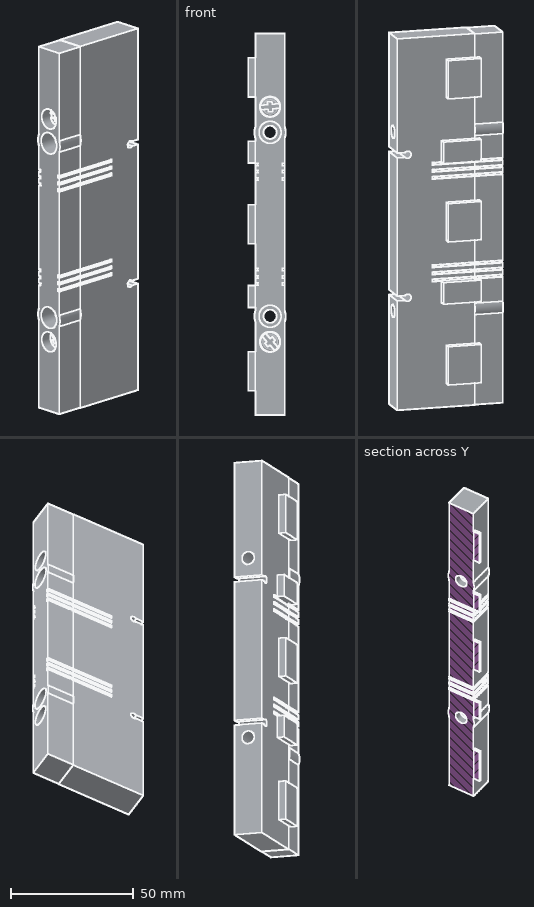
import cadquery as cq

LENGTH = 156.0
WIDTH = 12.0
PLATE_DEPTH = 33.0
STRIP_DEPTH = WIDTH
STRIP_SHORTFALL = 0.2

PAD_THICKNESS = 3.0
PAD_OVERHANG = 1.9
LARGE_PAD_DEPTH = 14.0
LARGE_PAD_HEIGHT = 16.0
LARGE_PAD_PITCH = 60.0
SMALL_PAD_DEPTH = 16.0
SMALL_PAD_HEIGHT = 9.0

GROOVE_SIZE = 1.0
GROOVE_PITCH = 3.0
GROOVES_PER_GROUP = 3
INNER_GROOVE_Z = 18.5
GROOVE_REACH = 18.1

KEYHOLE_PITCH = LARGE_PAD_PITCH
KEYHOLE_OFFSET = -1.0
KEYHOLE_WIDTH = 2.0
KEYHOLE_DIAMETER = 3.0
KEYHOLE_DEPTH = 6.0

BOLT_Z = 37.6
BOLT_DIAMETER = 5.3
COUNTERBORE_DIAMETER = 9.0
COUNTERBORE_DEPTH = 7.8
BOSS_DIAMETER = 13.0

SCREW_Z = 48.0
SCREW_HOLE_DIAMETER = 8.5
SCREW_DIAMETER = 8.0
SCREW_RECESS = 4.0
SCREW_HEIGHT = 5.0
SCREW_FILLET = 1.0
DRIVE_WIDTH = 1.9
DRIVE_DEPTH = 1.2
CROSS_LENGTH = 4.0
UPPER_SCREW_TURN = -5.0
LOWER_SCREW_TURN = 48.0

STRIP_FRONT_Y = -STRIP_DEPTH
SIDES = (1, -1)


def block(x_range, y_range, z_range):
    """Box between the given limits."""
    (x0, x1), (y0, y1), (z0, z1) = x_range, y_range, z_range
    return cq.Workplane("XY").box(x1 - x0, y1 - y0, z1 - z0, centered=False).translate((x0, y0, z0))


def rod(diameter, y_start, y_end, z):
    """Cylinder along Y, centred on X = 0."""
    cylinder = cq.Solid.makeCylinder(
        diameter / 2, y_end - y_start, cq.Vector(0, y_start, z), cq.Vector(0, 1, 0)
    )
    return cq.Workplane(obj=cylinder)


def pad(depth, height, z):
    """Raised pad on the -X side, centred at height z."""
    outer_x = -WIDTH / 2 - PAD_THICKNESS
    return block(
        (outer_x, -WIDTH / 2),
        (-PAD_OVERHANG, depth - PAD_OVERHANG),
        (z - height / 2, z + height / 2),
    )


def groove_ring(z):
    """What a groove removes: a channel along both sides and one across the joint."""
    z_range = (z - GROOVE_SIZE / 2, z + GROOVE_SIZE / 2)
    ring = block((-WIDTH / 2, WIDTH / 2), (-GROOVE_SIZE, GROOVE_SIZE), z_range)
    for start_x, end_x in (
        (-WIDTH / 2, GROOVE_SIZE - WIDTH / 2),
        (WIDTH / 2 - GROOVE_SIZE, WIDTH / 2),
    ):
        ring = ring.union(block((start_x, end_x), (STRIP_FRONT_Y, GROOVE_REACH), z_range))
    return ring


def cut_grooves(body):
    for side in SIDES:
        for index in range(GROOVES_PER_GROUP):
            body = body.cut(groove_ring(side * (INNER_GROOVE_Z + index * GROOVE_PITCH)))
    return body


def keyhole(z):
    """Slot through the plate's thickness that ends in a round hole."""
    round_y = PLATE_DEPTH - KEYHOLE_DEPTH + KEYHOLE_DIAMETER / 2
    slot = block(
        (-WIDTH / 2, WIDTH / 2),
        (round_y, PLATE_DEPTH),
        (z - KEYHOLE_WIDTH / 2, z + KEYHOLE_WIDTH / 2),
    )
    end = cq.Workplane("YZ").center(round_y, z).circle(KEYHOLE_DIAMETER / 2).extrude(WIDTH / 2, both=True)
    return slot.union(end)


def make_plate():
    half_width, half_length = WIDTH / 2, LENGTH / 2
    plate = block((-half_width, half_width), (0, PLATE_DEPTH), (-half_length, half_length))
    for index in (-1, 0, 1):
        plate = plate.union(pad(LARGE_PAD_DEPTH, LARGE_PAD_HEIGHT, index * LARGE_PAD_PITCH))
    outer_groove_z = INNER_GROOVE_Z + (GROOVES_PER_GROUP - 1) * GROOVE_PITCH
    small_pad_z = outer_groove_z + GROOVE_SIZE / 2 + SMALL_PAD_HEIGHT / 2
    for side in SIDES:
        plate = plate.union(pad(SMALL_PAD_DEPTH, SMALL_PAD_HEIGHT, side * small_pad_z))
        plate = plate.cut(rod(BOLT_DIAMETER, 0, PLATE_DEPTH, side * BOLT_Z))
        plate = plate.cut(keyhole(KEYHOLE_OFFSET + side * KEYHOLE_PITCH / 2))
    return cut_grooves(plate)


def make_strip():
    half_width, half_length = WIDTH / 2, LENGTH / 2
    strip = block(
        (-half_width, half_width),
        (STRIP_FRONT_Y, 0),
        (STRIP_SHORTFALL - half_length, half_length - STRIP_SHORTFALL),
    )
    counterbore_end = STRIP_FRONT_Y + COUNTERBORE_DEPTH
    screw_seat = STRIP_FRONT_Y + SCREW_RECESS + SCREW_HEIGHT
    for side in SIDES:
        strip = strip.union(rod(BOSS_DIAMETER, STRIP_FRONT_Y, 0, side * BOLT_Z))
        strip = strip.cut(rod(BOLT_DIAMETER, STRIP_FRONT_Y, 0, side * BOLT_Z))
        strip = strip.cut(rod(COUNTERBORE_DIAMETER, STRIP_FRONT_Y, counterbore_end, side * BOLT_Z))
        strip = strip.cut(rod(SCREW_HOLE_DIAMETER, STRIP_FRONT_Y, screw_seat, side * SCREW_Z))
    return cut_grooves(strip)


def make_screw(z, turn):
    """Screw with a rounded top, a slot across it and a short cross arm."""
    top = STRIP_FRONT_Y + SCREW_RECESS
    screw = rod(SCREW_DIAMETER, top, top + SCREW_HEIGHT, 0).faces("<Y").edges().fillet(SCREW_FILLET)
    for length, width in ((SCREW_DIAMETER, DRIVE_WIDTH), (DRIVE_WIDTH, CROSS_LENGTH)):
        screw = screw.cut(
            block((-length / 2, length / 2), (top, top + DRIVE_DEPTH), (-width / 2, width / 2))
        )
    return screw.rotate((0, 0, 0), (0, 1, 0), turn).translate((0, 0, z))


plate = make_plate()
strip = make_strip()
screws = [
    make_screw(z, turn)
    for z, turn in ((SCREW_Z, UPPER_SCREW_TURN), (-SCREW_Z, LOWER_SCREW_TURN))
]

result = cq.Compound.makeCompound([plate.val(), strip.val(), *[screw.val() for screw in screws]])